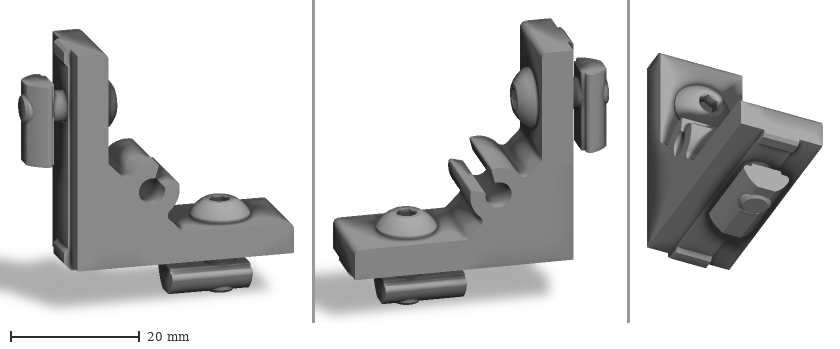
import cadquery as cq
import math


width = 14.0
leg_length = 35.0
leg_thickness = 5.0
leg_end_round = 1.0
gusset_reach = 22.0
gusset_round = 0.85

rail_width = 5.95
rail_height = 0.4
tab_height = 1.0
tab_slope = tab_height - rail_height
tab_end_chamfer = 0.5
end_tab_length = 2.9
corner_tab_length = 2.5
corner_chamfer = 1.15

clip_center = 12.0
clip_radius = 4.5
clip_bore_diameter = 4.2
clip_gap_half_angle = 30.0
clip_neck_round = 1.0
clip_tip_round = 0.35
clip_lip_round = 0.2

bolt_position = 25.0
bolt_hole_diameter = 5.5
bolt_diameter = 5.0
bolt_tip = 7.0
bolt_tip_chamfer = 0.5
head_diameter = 9.5
head_rim = 0.5
head_height = 2.75
head_flat_diameter = 5.0
socket_across_flats = 3.0
socket_depth = 2.0
socket_mouth_chamfer = 0.25

nut_length = 13.0
nut_tail = 8.75
nut_top = 2.45
nut_shoulder = 3.02
nut_bottom = 6.68
nut_neck_half_width = 2.48
nut_shoulder_half_width = 4.07
nut_bottom_half_width = 1.5
nut_side_radius = 5.55
nut_shoulder_round = 0.67
nut_neck_round = 0.2
nut_neck_root_round = 0.3

floor_leg = cq.Plane(origin=(0, bolt_position, 0), xDir=(-1, 0, 0), normal=(0, 0, -1))
wall_leg = cq.Plane(origin=(0, 0, bolt_position), xDir=(1, 0, 0), normal=(0, -1, 0))
leg_frames = [floor_leg, wall_leg]


def across(thickness):
    """Sketch plane (Y, Z) from which an extrusion of this thickness is centred on X = 0."""
    return cq.Workplane("YZ", origin=(-thickness / 2, 0, 0))


def round_edge(body, y, z, radius):
    """Fillet the edge along X that passes through (y, z)."""
    edge = body.edges("|X").edges(cq.selectors.NearestToPointSelector((0, y, z)))
    return edge.fillet(radius)


def make_legs():
    """L-shaped plate with a sloping gusset in its inner corner."""
    gusset_foot = gusset_reach - leg_thickness
    legs = (
        across(width)
        .moveTo(0, 0)
        .lineTo(leg_length, 0)
        .lineTo(leg_length, leg_thickness)
        .lineTo(gusset_foot, leg_thickness)
        .lineTo(leg_thickness, gusset_foot)
        .lineTo(leg_thickness, leg_length)
        .lineTo(0, leg_length)
        .close()
        .extrude(width)
    )
    for along, radius in [(leg_length, leg_end_round), (gusset_foot, gusset_round)]:
        legs = round_edge(legs, along, leg_thickness, radius)
        legs = round_edge(legs, leg_thickness, along, radius)
    return legs


def add_clip(body):
    """Round clip on the gusset, open along the diagonal away from the corner."""
    ring = across(width).center(clip_center, clip_center).circle(clip_radius).extrude(width)
    body = body.union(ring)

    rise = gusset_reach / math.sqrt(2) - clip_center * math.sqrt(2)
    spread = math.sqrt(clip_radius**2 - rise**2)
    high = clip_center + (rise + spread) / math.sqrt(2)
    low = clip_center + (rise - spread) / math.sqrt(2)
    body = round_edge(body, high, low, clip_neck_round)
    body = round_edge(body, low, high, clip_neck_round)

    bore = across(width).center(clip_center, clip_center).circle(clip_bore_diameter / 2).extrude(width)
    flat_angle = math.radians(45 - clip_gap_half_angle)
    steep_angle = math.radians(45 + clip_gap_half_angle)
    gap_reach = 2 * clip_radius
    gap = (
        across(width)
        .center(clip_center, clip_center)
        .moveTo(0, 0)
        .lineTo(gap_reach * math.cos(flat_angle), gap_reach * math.sin(flat_angle))
        .lineTo(gap_reach * math.cos(steep_angle), gap_reach * math.sin(steep_angle))
        .close()
        .extrude(width)
    )
    body = body.cut(bore).cut(gap)
    for angle in (flat_angle, steep_angle):
        for reach, radius in [(clip_radius, clip_tip_round), (clip_bore_diameter / 2, clip_lip_round)]:
            edge_y = clip_center + reach * math.cos(angle)
            edge_z = clip_center + reach * math.sin(angle)
            body = round_edge(body, edge_y, edge_z, radius)
    return body


def make_rail():
    """Strip around the outer corner with a tab at each leg end and one at the corner."""
    leg_rail = (
        across(rail_width)
        .moveTo(-tab_height, 0)
        .lineTo(-tab_height, -tab_height)
        .lineTo(corner_tab_length - tab_slope, -tab_height)
        .lineTo(corner_tab_length, -rail_height)
        .lineTo(leg_length - end_tab_length, -rail_height)
        .lineTo(leg_length - end_tab_length + tab_slope, -tab_height)
        .lineTo(leg_length - tab_end_chamfer, -tab_height)
        .lineTo(leg_length, tab_end_chamfer - tab_height)
        .lineTo(leg_length, 0)
        .close()
        .extrude(rail_width)
    )
    other_rail = leg_rail.rotate((0, 0, 0), (0, 1, 1), 180)
    corner = cq.selectors.NearestToPointSelector((0, -tab_height, -tab_height))
    return leg_rail.union(other_rail).edges("|X").edges(corner).chamfer(corner_chamfer)


def make_bracket():
    bracket = add_clip(make_legs()).union(make_rail())
    for frame in leg_frames:
        hole = (
            cq.Workplane(frame)
            .circle(bolt_hole_diameter / 2)
            .extrude(leg_thickness + rail_height, both=True)
        )
        bracket = bracket.cut(hole)
    return bracket


def make_bolt():
    """Bolt along z, with its head seated on the inner face of the leg."""
    seat = -leg_thickness
    shaft_radius = bolt_diameter / 2
    rim_radius = head_diameter / 2
    flat_radius = head_flat_diameter / 2

    dome_center = (flat_radius**2 + head_height**2 - rim_radius**2 - head_rim**2) / (
        2 * (head_height - head_rim)
    )
    dome_radius = math.hypot(rim_radius, head_rim - dome_center)
    middle_height = (head_rim + head_height) / 2
    middle_radius = math.sqrt(dome_radius**2 - (middle_height - dome_center) ** 2)
    bolt = (
        cq.Workplane("XZ")
        .moveTo(0, bolt_tip)
        .lineTo(shaft_radius - bolt_tip_chamfer, bolt_tip)
        .lineTo(shaft_radius, bolt_tip - bolt_tip_chamfer)
        .lineTo(shaft_radius, seat)
        .lineTo(rim_radius, seat)
        .lineTo(rim_radius, seat - head_rim)
        .threePointArc((middle_radius, seat - middle_height), (flat_radius, seat - head_height))
        .lineTo(0, seat - head_height)
        .close()
        .revolve(360, (0, 0, 0), (0, 1, 0))
    )

    across_corners = socket_across_flats / math.cos(math.radians(30))
    top = cq.Workplane("XY", origin=(0, 0, seat - head_height))
    socket = top.transformed(rotate=(0, 0, 90)).polygon(6, across_corners).extrude(socket_depth)
    mouth_radius = across_corners / 2
    mouth = cq.Solid.makeCone(
        mouth_radius,
        mouth_radius - socket_mouth_chamfer,
        socket_mouth_chamfer,
        pnt=cq.Vector(0, 0, seat - head_height),
    )
    return bolt.cut(socket).cut(cq.Workplane(mouth))


def make_nut():
    """Slot nut with rounded flanks, lying along y around the bolt shaft."""
    nut_head = nut_length - nut_tail
    nut = (
        cq.Workplane("XZ", origin=(0, nut_head, 0))
        .moveTo(-nut_neck_half_width, nut_top)
        .lineTo(nut_neck_half_width, nut_top)
        .lineTo(nut_neck_half_width, nut_shoulder)
        .lineTo(nut_shoulder_half_width, nut_shoulder)
        .radiusArc((nut_bottom_half_width, nut_bottom), -nut_side_radius)
        .lineTo(-nut_bottom_half_width, nut_bottom)
        .radiusArc((-nut_shoulder_half_width, nut_shoulder), -nut_side_radius)
        .lineTo(-nut_neck_half_width, nut_shoulder)
        .close()
        .extrude(nut_length)
    )
    corner_rounds = [
        (nut_neck_half_width, nut_top, nut_neck_round),
        (nut_neck_half_width, nut_shoulder, nut_neck_root_round),
        (nut_shoulder_half_width, nut_shoulder, nut_shoulder_round),
    ]
    middle_y = nut_head - nut_length / 2
    for half_width, depth, radius in corner_rounds:
        for x in (-half_width, half_width):
            corner = cq.selectors.NearestToPointSelector((x, middle_y, depth))
            nut = nut.edges("|Y").edges(corner).fillet(radius)
    bolt_hole = cq.Workplane("XY").circle(bolt_diameter / 2).extrude(bolt_tip)
    return nut.cut(bolt_hole)


bracket = make_bracket()
bolts = [make_bolt().val().moved(cq.Location(frame)) for frame in leg_frames]
nuts = [make_nut().val().moved(cq.Location(frame)) for frame in leg_frames]

result = cq.Compound.makeCompound([bracket.val(), *bolts, *nuts])